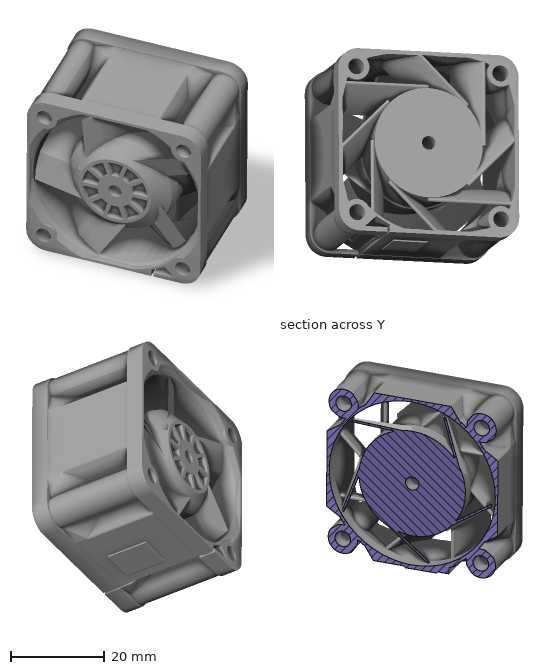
import cadquery as cq
import math

frame_size = 40.0
frame_depth = 28.0
flange_thickness = 3.9
corner_radius = 4.5
frame_tilt = 0.35
half_frame = frame_size / 2
cut_margin = 0.5

hole_offset = 16.0
hole_diameter = 3.5
column_radius = 3.45
boss_radius = 2.9

side_recess = 0.12
side_plane = half_frame - side_recess
flat_half_width = 8.8
flat_edge_width = 0.25
flat_edge_drop = 0.2
notch_inner = (10.9, 16.77)
notch_outer = (11.65, 16.26)
column_foot = (12.4, 16.6)
column_edge = (13.9, 18.74)

bore_radius = 19.2
wall_radius = math.hypot(*notch_outer)
wall_thickness = wall_radius - bore_radius
lip_radius = 20.8
lip_depth = 0.3
flare_radius = 20.4
throat_radius = 19.6
throat_depth = 1.0
inlet_depth = 1.6
duct_half_width = 19.35
outlet_start = 16.6
outlet_edge_half_width = 9.2
outlet_radius = 23.2

cable_pocket = [(8.72, -18.4), (11.8, -16.65), (14.2, -18.95), (8.72, -18.95)]
slit_left = cable_pocket[0][0]
slit_width = 0.6
slit_height = half_frame + cable_pocket[0][1]
pocket_guard_top = 14.0
flare_radius_at_pocket = 19.85

pad_length_x = 7.5
pad_length_y = 9.5
pad_center = (2.0, 15.5)
pad_bottom = -20.235
pad_root = 1.0

shaft_hole_diameter = 3.0
rotor_rear = 17.0
base_radius = 12.0
vane_count = 8
vane_thickness = 0.8
vane_front = (7.9, 18.0)
vane_middle = (9.3, 22.5)
vane_rear = (12.4, 27.5)

hub_front = 0.8
hub_face_radius = 8.3
shoulder_radius = 11.85
shoulder_y = 3.9
hub_radius = 12.4
hub_side_y = 6.0

spoke_count = 10
spoke_width = 0.9
window_inner_radius = 4.05
window_outer_radius = 7.5
window_depth = 1.5

tab_length = 1.5
tab_width = 1.7
tab_radius = 8.6
tab_angle = 162.0
tab_front = 1.0
tab_rear = 4.0

blade_count = 5
blade_tip_radius = 18.6
blade_corner_radius = 1.0
blade_thickness = 0.8
blade_edge_thickness = 0.6
blade_bulge = 0.3
blade_root_height = 4.0
blade_root = [(-7.0, 1.85), (-0.77, 4.25), (1.93, 5.9), (12.3, 15.0)]
blade_outer_height = 19.0
blade_outer = [(-7.8, 0.95), (-2.06, 3.3), (-0.81, 4.85), (7.4, 14.2)]


def plane_at(y):
    """Sketch plane across the axis: local x is X, local y is Z."""
    return cq.Workplane("XZ", origin=(0, y, 0))


def disc(radius, y_start, y_end):
    return plane_at(y_start).circle(radius).extrude(y_start - y_end)


def square(half_width, y_start, y_end):
    return plane_at(y_start).rect(2 * half_width, 2 * half_width).extrude(y_start - y_end)


def cone(radius_start, y_start, radius_end, y_end):
    profile = [(0, y_start), (radius_start, y_start), (radius_end, y_end), (0, y_end)]
    return cq.Workplane("XY").polyline(profile).close().revolve(360, (0, 0, 0), (0, 1, 0))


def turned(shape, angle):
    """Counterclockwise turn about the fan axis, seen from the front."""
    return shape.rotate((0, 0, 0), (0, 1, 0), -angle)


def corner_discs(radius, y_start, y_end):
    corners = plane_at(y_start).rect(2 * hole_offset, 2 * hole_offset, forConstruction=True)
    return corners.vertices().circle(radius).extrude(y_start - y_end)


def flange(y_start):
    block = square(half_frame, y_start, y_start + flange_thickness)
    return block.edges("|Y").fillet(corner_radius)


def notch_outline():
    """Corners of the upper right notch, closed outside the flat side and the column."""
    flat_edge = (flat_half_width + flat_edge_width, side_plane - flat_edge_drop)
    return [(flat_half_width, side_plane), flat_edge, notch_inner, notch_outer, column_foot, column_edge,
            (column_edge[0], half_frame), (flat_half_width, half_frame)]


def middle_wall(y_start, y_end):
    """Square wall whose corners are replaced by columns, with notches down to the round duct wall."""
    sides = square(side_plane, y_start, y_end)
    corners = plane_at(y_start).rect(2 * hole_offset, 2 * hole_offset, forConstruction=True).vertices()
    corner_size = 2 * (half_frame - hole_offset + cut_margin)
    wall = sides.cut(corners.rect(corner_size, corner_size).extrude(y_start - y_end))
    wall = wall.union(corner_discs(column_radius, y_start, y_end))
    points = notch_outline()
    mirrored = [(z, x) for x, z in points]
    for outline in (points, mirrored):
        notch = plane_at(y_start).polyline(outline).close().extrude(y_start - y_end)
        for quarter in range(4):
            wall = wall.cut(turned(notch, 90 * quarter))
    return wall.union(disc(wall_radius, y_start, y_end).intersect(sides))


def outlet_limit(inset):
    """Prism that drops from the flat sides to the columns, moved inwards by the inset."""
    edge = (outlet_edge_half_width, side_plane)
    corner = [edge, column_edge, column_edge[::-1], edge[::-1]]
    outline = []
    for quarter in range(4):
        angle = math.radians(-90 * quarter)
        for x, z in corner:
            outline.append((x * math.cos(angle) - z * math.sin(angle),
                            x * math.sin(angle) + z * math.cos(angle)))
    sketch = plane_at(outlet_start).polyline(outline).close()
    if inset > 0:
        sketch = sketch.offset2D(-inset, "intersection")
    return sketch.extrude(outlet_start - frame_depth)


def outlet_shell(y_end):
    """Outside of the outlet cone, which fills the rear ends of the notches."""
    return cone(wall_radius, outlet_start, outlet_radius, y_end).intersect(outlet_limit(0))


def passage():
    """Air duct: straight bore with a flared inlet and a widening outlet."""
    rear_start = frame_depth - flange_thickness
    duct_radius = outlet_radius - wall_thickness
    inlet = cone(lip_radius, 0, flare_radius, lip_depth)
    inlet = inlet.union(cone(flare_radius, lip_depth, throat_radius, throat_depth))
    inlet = inlet.union(cone(throat_radius, throat_depth, bore_radius, inlet_depth))
    outlet = cone(bore_radius, outlet_start, duct_radius, rear_start)
    outlet = outlet.union(disc(duct_radius, rear_start, frame_depth))
    outlet = outlet.intersect(outlet_limit(wall_thickness))
    flares = inlet.union(outlet).intersect(square(duct_half_width, 0, frame_depth))
    flares = flares.cut(corner_discs(boss_radius, 0, frame_depth))
    guard = cq.Workplane("XY", origin=(0, 0, -half_frame))
    guard = guard.box(hole_offset, frame_depth, half_frame - pocket_guard_top, centered=False)
    flares = flares.cut(guard.cut(disc(flare_radius_at_pocket, 0, frame_depth)))
    return flares.union(disc(bore_radius, 0, frame_depth))


def guide_vane():
    """Curved plate that leaves the motor base sideways and runs straight to the duct wall."""
    line = cq.Workplane("XY").moveTo(-vane_front[0], vane_front[1])
    line = line.threePointArc((-vane_middle[0], vane_middle[1]), (-vane_rear[0], vane_rear[1]))
    plate = line.offset2D(vane_thickness / 2)
    return plate.extrude(half_frame)


def cable_opening():
    pocket = plane_at(0).polyline(cable_pocket).close().extrude(-frame_depth)
    slit = cq.Workplane("XY").box(slit_width, frame_depth, slit_height + cut_margin, centered=False)
    slit = slit.translate((slit_left, 0, -half_frame - cut_margin))
    return pocket.union(slit)


def make_housing():
    rear_start = frame_depth - flange_thickness
    body = flange(0).union(flange(rear_start))
    body = body.union(middle_wall(flange_thickness, rear_start))
    body = body.union(outlet_shell(rear_start))
    duct = passage()
    body = body.cut(duct)
    base = disc(base_radius, rotor_rear, frame_depth)
    for index in range(vane_count):
        vane = turned(guide_vane(), index * 360 / vane_count)
        body = body.union(vane.intersect(duct))
    body = body.union(base)
    body = body.cut(corner_discs(hole_diameter / 2, 0, frame_depth)).cut(cable_opening())
    body = turned(body, -frame_tilt)
    pad = cq.Workplane("XY").box(pad_length_x, pad_length_y, pad_root, centered=(True, True, False))
    pad = pad.translate((*pad_center, pad_bottom))
    body = body.union(pad.cut(disc(bore_radius, 0, frame_depth)))
    return body.cut(disc(shaft_hole_diameter / 2, 0, frame_depth))


def make_hub():
    profile = [(0, hub_front), (hub_face_radius, hub_front), (shoulder_radius, shoulder_y),
               (hub_radius, hub_side_y), (hub_radius, rotor_rear), (0, rotor_rear)]
    return cq.Workplane("XY").polyline(profile).close().revolve(360, (0, 0, 0), (0, 1, 0))


def hub_windows():
    floor = hub_front + window_depth
    ring = disc(window_outer_radius, hub_front, floor).cut(disc(window_inner_radius, hub_front, floor))
    for index in range(spoke_count):
        spoke = cq.Workplane("XY", origin=(0, hub_front, 0))
        spoke = spoke.box(hub_face_radius, window_depth, spoke_width, (False, False, True))
        ring = ring.cut(turned(spoke, index * 360 / spoke_count))
    return ring


def balance_tab():
    tab = cq.Workplane("XY").box(tab_length, tab_rear - tab_front, tab_width, (True, False, True))
    return turned(tab.translate((tab_radius, tab_front, 0)), tab_angle)


def blade_section(workplane, points):
    """Sharp leading edge, creased front face and smoothly curved rear face."""
    leading, first_crease, second_crease, trailing = points
    bulge_point = ((second_crease[0] + trailing[0]) / 2 + blade_bulge,
                   (second_crease[1] + trailing[1]) / 2 - blade_bulge)
    rear_middle = (second_crease[0] - blade_thickness / 2, second_crease[1] + blade_thickness)
    section = workplane.moveTo(*leading).lineTo(*first_crease).lineTo(*second_crease)
    section = section.threePointArc(bulge_point, trailing)
    section = section.lineTo(trailing[0] - blade_edge_thickness, trailing[1])
    return section.threePointArc(rear_middle, leading).close()


def make_blade():
    section = blade_section(cq.Workplane("XY", origin=(0, 0, blade_root_height)), blade_root)
    lifted = section.workplane(offset=blade_outer_height - blade_root_height)
    blade = blade_section(lifted, blade_outer).loft(ruled=True)
    rear = max(blade_outer[-1][1], blade_root[-1][1])
    envelope = disc(blade_tip_radius, 0, rear).edges(">Y").fillet(blade_corner_radius)
    return blade.intersect(envelope)


def make_rotor():
    rotor = make_hub().union(balance_tab())
    for index in range(blade_count):
        rotor = rotor.union(turned(make_blade(), index * 360 / blade_count))
    rotor = rotor.cut(hub_windows())
    return rotor.cut(disc(shaft_hole_diameter / 2, hub_front, rotor_rear))


housing = make_housing()
rotor = make_rotor()
result = cq.Compound.makeCompound([*housing.vals(), *rotor.vals()])